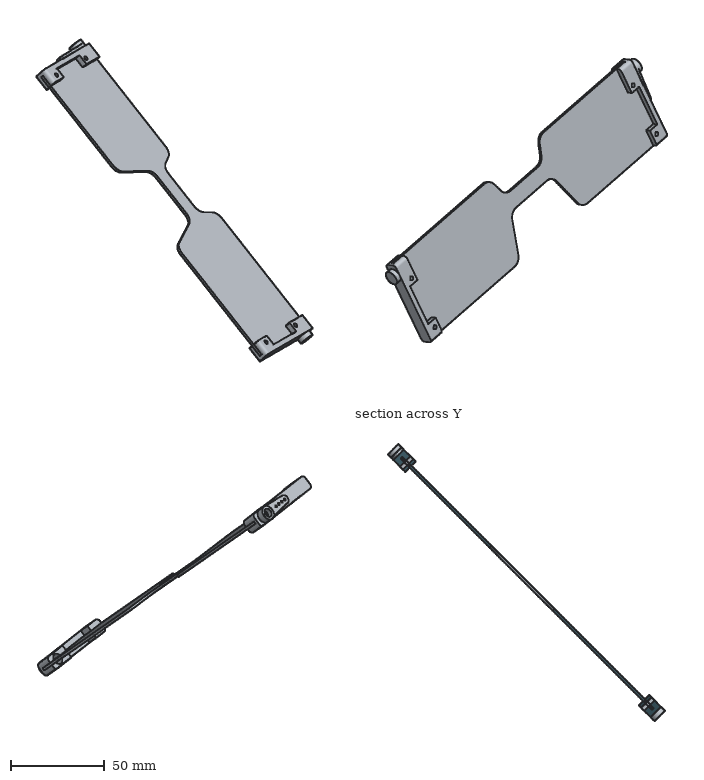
import cadquery as cq
import math

TILT_ANGLE = 45

WIDTH = 50.0
PANEL_LENGTH = 189.9
PANEL_THICKNESS = 1.5
BRIDGE_CENTER_X = -4.0
BRIDGE_TOP_Y = 11.4
BRIDGE_BOTTOM_Y = 1.5
UPPER_GAP_OUTER = 40.7
UPPER_GAP_INNER = 30.3
LOWER_GAP_OUTER = 51.5
LOWER_GAP_INNER = 33.5
GAP_FILLET = 5.9

CLIP_OUTER_X = 97.0
CLIP_DEPTH = 9.0
CLIP_THICKNESS = 8.0
CLIP_EDGE_RADIUS = 2.0
CLIP_INNER_X = CLIP_OUTER_X - CLIP_DEPTH
NOTCH_DEPTH = 6.0
NOTCH_TOP_Y = 9.5
NOTCH_BOTTOM_Y = -15.0

SCREW_DIAMETER = 2.2
SCREW_X = 91.0
SCREW_YS = (12.5, -19.1)

PIVOT_Y = 18.5
HUB_DIAMETER = 8.0
STUB_LENGTH = 3.0
SOCKET_DIAMETER = 6.0

HORN_HEIGHT = 4.1
ARM_THICKNESS = 1.8
ARM_ROOT_WIDTH = HUB_DIAMETER
ARM_TIP_WIDTH = 5.0
ARM_LENGTH = 21.5
BORE_DIAMETER = 4.7
BORE_DEPTH = 3.0
HORN_SCREW_DIAMETER = 1.8
ARM_HOLE_DIAMETER = 1.2
ARM_HOLE_COUNT = 4
ARM_HOLE_PITCH = 2.8
FIRST_ARM_HOLE = 10.5


def screw_cutters(side):
    """Screw shanks at one end of the panel; side is -1 or +1 along X."""
    points = [(side * SCREW_X, y) for y in SCREW_YS]
    return (
        cq.Workplane("XY", origin=(0, 0, -CLIP_THICKNESS))
        .pushPoints(points)
        .circle(SCREW_DIAMETER / 2)
        .extrude(2 * CLIP_THICKNESS)
    )


def bridge_gap(outer_width, inner_width, edge_y, bridge_y):
    """Flared gap between the lens plates, from one long edge of the panel to the bridge.

    The flare is rounded where it meets the bridge and where it runs out into the long edge.
    """
    half_outer = outer_width / 2
    half_inner = inner_width / 2
    depth = abs(edge_y - bridge_y)
    outward = math.copysign(1, edge_y - bridge_y)
    flare_angle = math.atan2(depth, half_outer - half_inner)
    tangent = GAP_FILLET * math.tan(flare_angle / 2)
    along = tangent * math.cos(flare_angle)
    across = tangent * math.sin(flare_angle) * outward
    bisector = GAP_FILLET / math.cos(flare_angle / 2) - GAP_FILLET
    bulge_x = bisector * math.sin(flare_angle / 2)
    bulge_y = bisector * math.cos(flare_angle / 2) * outward

    def mirrored(x, y):
        return (-x, y)

    lip_start = (half_outer + tangent, edge_y)
    lip_middle = (half_outer + bulge_x, edge_y - bulge_y)
    lip_end = (half_outer - along, edge_y - across)
    root_start = (half_inner + along, bridge_y + across)
    root_middle = (half_inner - bulge_x, bridge_y + bulge_y)
    root_end = (half_inner - tangent, bridge_y)
    return (
        cq.Workplane("XY", origin=(BRIDGE_CENTER_X, 0, -PANEL_THICKNESS))
        .moveTo(*lip_start)
        .threePointArc(lip_middle, lip_end)
        .lineTo(*root_start)
        .threePointArc(root_middle, root_end)
        .lineTo(*mirrored(*root_end))
        .threePointArc(mirrored(*root_middle), mirrored(*root_start))
        .lineTo(*mirrored(*lip_end))
        .threePointArc(mirrored(*lip_middle), mirrored(*lip_start))
        .close()
        .extrude(2 * PANEL_THICKNESS)
    )


def make_panel():
    panel = cq.Workplane("XY").box(PANEL_LENGTH, WIDTH, PANEL_THICKNESS)
    panel = panel.cut(bridge_gap(UPPER_GAP_OUTER, UPPER_GAP_INNER, WIDTH / 2, BRIDGE_TOP_Y))
    panel = panel.cut(bridge_gap(LOWER_GAP_OUTER, LOWER_GAP_INNER, -WIDTH / 2, BRIDGE_BOTTOM_Y))
    for side in (-1, 1):
        panel = panel.cut(screw_cutters(side))
    return panel


def make_clip(side):
    """Clip at one end of the panel, with its inner notch, panel slot and screw holes."""
    clip = (
        cq.Workplane("XY")
        .box(CLIP_DEPTH, WIDTH, CLIP_THICKNESS)
        .edges("|X")
        .fillet(CLIP_EDGE_RADIUS)
        .translate((side * (CLIP_OUTER_X - CLIP_DEPTH / 2), 0, 0))
    )
    notch = (
        cq.Workplane("XY")
        .box(2 * NOTCH_DEPTH, NOTCH_TOP_Y - NOTCH_BOTTOM_Y, CLIP_THICKNESS)
        .translate((side * CLIP_INNER_X, (NOTCH_TOP_Y + NOTCH_BOTTOM_Y) / 2, 0))
    )
    slot = cq.Workplane("XY").box(PANEL_LENGTH, WIDTH, PANEL_THICKNESS)
    return clip.cut(notch).cut(slot).cut(screw_cutters(side))


def make_pivot_clip():
    """Clip opposite the horn: a pivot stub outside and a round socket inside."""
    stub = (
        cq.Workplane("YZ", origin=(CLIP_OUTER_X, PIVOT_Y, 0))
        .circle(HUB_DIAMETER / 2)
        .extrude(STUB_LENGTH)
    )
    socket = (
        cq.Workplane("YZ", origin=(CLIP_INNER_X, PIVOT_Y, 0))
        .circle(SOCKET_DIAMETER / 2)
        .extrude(CLIP_DEPTH)
    )
    return make_clip(1).union(stub).cut(socket)


def make_horn():
    """Servo horn on the outer face of the other clip: a hub with a tapered, drilled arm."""
    base = cq.Plane(origin=(-CLIP_OUTER_X, PIVOT_Y, 0), xDir=(0, -1, 0), normal=(-1, 0, 0))
    hub = cq.Workplane(base).circle(HUB_DIAMETER / 2).extrude(HORN_HEIGHT)
    tip_center = ARM_LENGTH - ARM_TIP_WIDTH / 2
    arm = (
        cq.Workplane(base)
        .moveTo(0, ARM_ROOT_WIDTH / 2)
        .lineTo(tip_center, ARM_TIP_WIDTH / 2)
        .threePointArc((ARM_LENGTH, 0), (tip_center, -ARM_TIP_WIDTH / 2))
        .lineTo(0, -ARM_ROOT_WIDTH / 2)
        .close()
        .extrude(ARM_THICKNESS)
    )
    bore = (
        cq.Workplane(base)
        .workplane(offset=HORN_HEIGHT - BORE_DEPTH)
        .circle(BORE_DIAMETER / 2)
        .extrude(BORE_DEPTH)
    )
    horn_screw = cq.Workplane(base).circle(HORN_SCREW_DIAMETER / 2).extrude(HORN_HEIGHT)
    hole_points = [(FIRST_ARM_HOLE + i * ARM_HOLE_PITCH, 0) for i in range(ARM_HOLE_COUNT)]
    arm_holes = (
        cq.Workplane(base)
        .pushPoints(hole_points)
        .circle(ARM_HOLE_DIAMETER / 2)
        .extrude(ARM_THICKNESS)
    )
    return hub.union(arm).cut(bore).cut(horn_screw).cut(arm_holes)


panel = make_panel()
horn_clip = make_clip(-1)
pivot_clip = make_pivot_clip()
horn = make_horn()

bodies = [body.val() for body in (panel, horn_clip, pivot_clip, horn)]
result = cq.Compound.makeCompound(
    [body.rotate(cq.Vector(0, 0, 0), cq.Vector(0, 1, 0), TILT_ANGLE) for body in bodies]
)